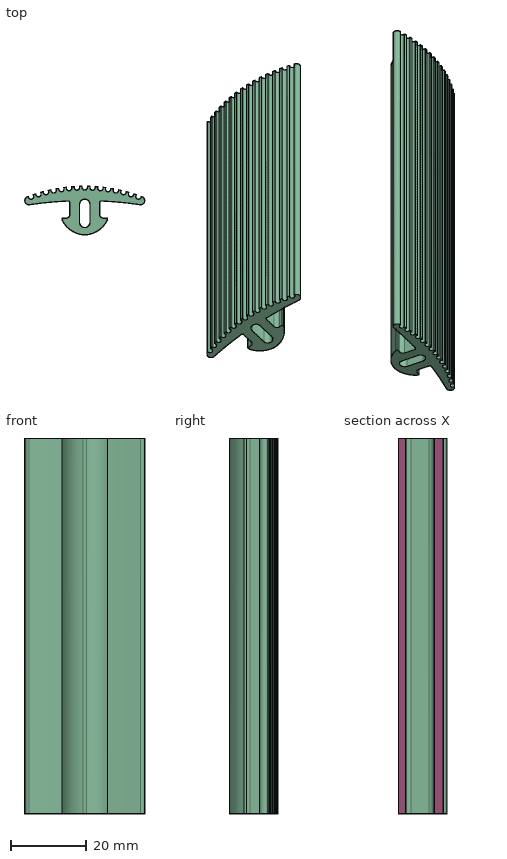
import cadquery as cq
import math

length = 100.0
width = 32.0
height = 13.0

crown_radius = 43.0
cap_edge_x = 15.2
rim_y = -3.85
rim_foot_x = 14.9
rim_foot_y = -5.0
underside_radius = 100.0
root_fillet = 0.4

groove_count = 15
groove_pitch = 2.1
groove_width = 1.35
groove_depth = 1.0

stem_half_width = 4.0
stem_fillet = 1.0
head_half_width = 6.0
ledge_y = -8.5
head_side_height = 0.6
head_flat_half_width = 0.4
head_radius = 7.0

slot_width = 2.7
slot_top_y = -3.5
slot_bottom_y = -11.0


def head_arc_midpoint(flat_end, side_end):
    """Midpoint of the convex arc of head_radius between the bottom flat and the head side."""
    run = side_end[0] - flat_end[0]
    rise = side_end[1] - flat_end[1]
    chord = math.hypot(run, rise)
    bulge = head_radius - math.sqrt(head_radius**2 - (chord / 2)**2)
    return (
        (flat_end[0] + side_end[0]) / 2 + bulge * rise / chord,
        (flat_end[1] + side_end[1]) / 2 - bulge * run / chord,
    )


def underside_y(x):
    """Height of the wing underside at x, on an arc centred on X = 0 that ends at the rim foot."""
    arc_height = math.sqrt(underside_radius**2 - x**2)
    return rim_foot_y + arc_height - math.sqrt(underside_radius**2 - rim_foot_x**2)


def mirrored(point):
    return (-point[0], point[1])


def make_body():
    cap_edge = (cap_edge_x, math.sqrt(crown_radius**2 - cap_edge_x**2) - crown_radius)
    rim = (width / 2, rim_y)
    rim_foot = (rim_foot_x, rim_foot_y)
    root = (stem_half_width, underside_y(stem_half_width))
    wing_mid_x = (stem_half_width + rim_foot_x) / 2
    wing_mid = (wing_mid_x, underside_y(wing_mid_x))
    stem_foot = (stem_half_width, ledge_y)
    ledge_edge = (head_half_width, ledge_y)
    side_end = (head_half_width, ledge_y - head_side_height)
    flat_end = (head_flat_half_width, -height)
    head_mid = head_arc_midpoint(flat_end, side_end)

    body = (
        cq.Workplane("XY")
        .moveTo(*mirrored(cap_edge))
        .threePointArc((0, 0), cap_edge)
        .threePointArc(rim, rim_foot)
        .threePointArc(wing_mid, root)
        .lineTo(*stem_foot)
        .lineTo(*ledge_edge)
        .lineTo(*side_end)
        .threePointArc(head_mid, flat_end)
        .lineTo(*mirrored(flat_end))
        .threePointArc(mirrored(head_mid), mirrored(side_end))
        .lineTo(*mirrored(ledge_edge))
        .lineTo(*mirrored(stem_foot))
        .lineTo(*mirrored(root))
        .threePointArc(mirrored(wing_mid), mirrored(rim_foot))
        .threePointArc(mirrored(rim), mirrored(cap_edge))
        .close()
        .extrude(length)
    )
    for side in (-1, 1):
        for corner_y, radius in ((ledge_y, stem_fillet), (root[1], root_fillet)):
            corner = cq.selectors.NearestToPointSelector((side * root[0], corner_y, length / 2))
            body = body.edges(corner).fillet(radius)
    return body


def make_slot():
    return (
        cq.Workplane("XY")
        .center(0, (slot_top_y + slot_bottom_y) / 2)
        .slot2D(slot_top_y - slot_bottom_y, slot_width, 90)
        .extrude(length)
    )


def make_groove(angle):
    """Round-bottomed groove pointing at the crown centre, tilted by angle from vertical."""
    return (
        cq.Workplane("XY")
        .slot2D(2 * groove_depth, groove_width, 90)
        .extrude(length)
        .rotate((0, -crown_radius, 0), (0, -crown_radius, 1), angle)
    )


result = make_body().cut(make_slot())
pitch_angle = math.degrees(groove_pitch / crown_radius)
for index in range(groove_count):
    result = result.cut(make_groove((index - (groove_count - 1) / 2) * pitch_angle))